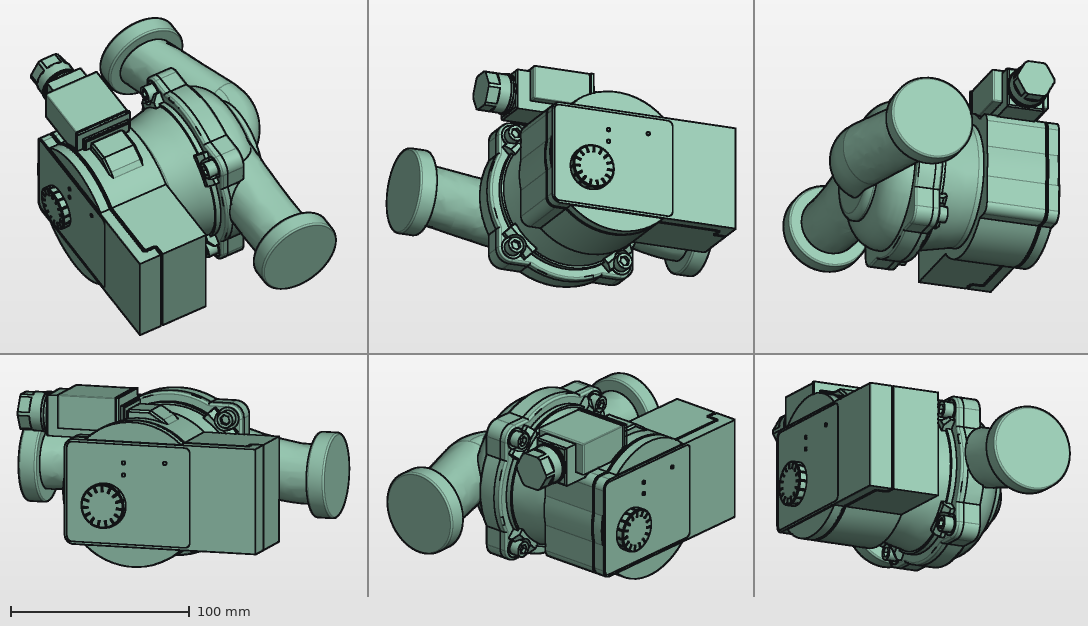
import cadquery as cq
import math


LINE_LENGTH = 180.0
PIPE_FLANGE_DIAMETER = 48.3
PIPE_FLANGE_THICKNESS = 10.5
PIPE_FLANGE_ROUND = 1.0
PIPE_FLANGE_INNER_X = LINE_LENGTH / 2 - PIPE_FLANGE_THICKNESS
PIPE_START_RADIUS = 16.8

INLET_BEND_HALF_WIDTH = 18.25
INLET_BEND_HALF_DEPTH = 16.7
INLET_BEND_RADIUS = 18.8
INLET_BEND_X = -22.0
INLET_TOP_Y = 34.37
INLET_BEND_Y = INLET_TOP_Y - INLET_BEND_HALF_DEPTH - INLET_BEND_RADIUS

OUTLET_SLOPE = 5.0
OUTLET_SECTIONS = [
    (PIPE_FLANGE_INNER_X, 0.0, PIPE_START_RADIUS),
    (68.0, 0.5, 17.0),
    (35.0, 8.0, 17.5),
    (-12.0, 23.0, 17.5),
]

VOLUTE_REAR_Y = 9.1
CLAMP_REAR_Y = -7.2
CLAMP_SPLIT_Y = -18.0
CLAMP_FRONT_Y = -22.4
COLLAR_FRONT_Y = -25.6
LUG_FRONT_Y = -28.1
MOTOR_NECK_Y = -47.3
CASE_REAR_Y = -50.5
DRUM_FRONT_Y = -93.0
PANEL_FRONT_Y = -93.6
OVERALL_Y = 132.52
OVERALL_Z = 99.75
KNOB_FRONT_Y = INLET_TOP_Y - OVERALL_Y

VOLUTE_RADIUS = 42.3
VOLUTE_ROUND = 16.0
REAR_DISC_RADIUS = 27.6
REAR_DISC_Y = 14.5
REAR_DISC_ROUND = 4.0
CLAMP_RADIUS = 46.75
EAR_RADIUS = 8.0
CLAMP_REAR_ROUND = 1.0
CLAMP_FRONT_ROUND = 1.3

SCREW_CIRCLE_RADIUS = 47.0
SCREW_OFFSET = SCREW_CIRCLE_RADIUS / math.sqrt(2)
SCREW_ANGLES = [45, 135, 225, 315]
SCREW_HEAD_DIAMETER = 9.0
SCREW_SHANK_DIAMETER = 5.0
SCREW_HEX = 5.0
SCREW_HEX_DEPTH = 2.5
SCREW_TIP_Y = -10.0

COLLAR_RADIUS = 41.2
CONE_RADIUS = 39.9
MOTOR_NECK_DIAMETER = 70.5
LUG_WIDTH = 18.8
LUG_INNER = 38.5
LUG_FLAT_END = 42.0
LUG_OUTER = 46.0
LUG_OUTER_Y = -25.0
SCREW_POCKET_RADIUS = 6.2
SCREW_SEAT_Y = -22.0

DRUM_RADIUS = 41.2
CASE_LEFT = -40.2
CASE_RIGHT = 72.4
CASE_HEIGHT = 60.0
CASE_CORNER = 5.4
CASE_EDGE_ROUND = 0.5
SEAM_WIDTH = 1.2
SEAM_DEPTH = 0.8
SEAM_Y = -85.7
SEAM_STEP_X = 64.9
SEAM_STEP_Y = -78.6
SEAM_BEND = 1.5
PANEL_LEFT = -38.6
PANEL_RIGHT = 33.7
PANEL_HEIGHT = 56.8
PANEL_CORNER = 3.0
PANEL_RELIEF = 0.1
LAMP_DIAMETER = 2.0
LAMP_DEPTH = 0.5
LAMP_POINTS = [(-5.4, 17.9), (-5.4, 11.0), (18.9, 19.0)]

SOCKET_LEFT = -8.6
SOCKET_FLAT_END = 5.4
SOCKET_SLOPE_END = 12.8
SOCKET_RIGHT = 15.7
SOCKET_TOP = 45.5
SOCKET_SLOPE_Z = 40.8
SOCKET_END_Z = 38.0
SOCKET_FOOT_Z = 33.0
SOCKET_REAR_Y = -57.0
SOCKET_FRONT_Y = -78.4
SOCKET_CHAMFER = 1.2

KNOB_X = -16.4
KNOB_Z = -6.7
KNOB_DIAMETER = 25.0
KNOB_CORE_DIAMETER = 17.0
KNOB_SLOTS = 15
KNOB_SLOT_WIDTH = 0.8
KNOB_SLOT_DEPTH = 4.0
KNOB_CHAMFER = 0.6

PLUG_LEFT = -47.1
PLUG_RIGHT = -12.4
PLUG_BOTTOM = 33.8
PLUG_TOP = OVERALL_Z - CLAMP_RADIUS
PLUG_REAR_Y = -51.4
PLUG_FRONT_Y = -84.6
PLUG_ROUND = 0.8
PLUG_RIM_THICKNESS = 1.6
PLUG_RIM_LIP = 0.6
PLUG_GROOVE = 0.8
SEAL_RIGHT = -9.4
SEAL_STEP = 0.8
SEAL_TOP = 47.9
SEAL_REAR_Y = -52.3
SEAL_FRONT_Y = -81.6
GLAND_Y = -68.1
GLAND_Z = 39.8
NECK_LEFT = -55.6
NECK_RIGHT = -20.0
NECK_WIDTH = 21.8
NECK_HEIGHT = 23.2
NECK_CHAMFER = 0.9
GLAND_DIAMETER = 22.0
GLAND_RING_DIAMETER = 23.0
GLAND_RING_LEFT = -58.6
GLAND_RING_RIGHT = -57.1
NUT_LEFT = -72.4
NUT_RIGHT = -65.5
NUT_FLATS = 20.0


def facing_front(y):
    """Workplane across the motor axis: local x is X, local y is Z, extruding goes towards -Y."""
    return cq.Workplane("XZ", origin=(0, y, 0))


def disc(radius, rear_y, front_y, x=0.0, z=0.0):
    return facing_front(rear_y).center(x, z).circle(radius).extrude(rear_y - front_y)


def rod_x(radius, left, right, y=0.0, z=0.0):
    return cq.Workplane("YZ", origin=(left, y, z)).circle(radius).extrude(right - left)


def block(left, right, rear_y, front_y, bottom, top):
    size = (right - left, rear_y - front_y, top - bottom)
    return cq.Workplane("XY").box(*size, centered=False).translate((left, front_y, bottom))


def clamp_plate(rear_y, front_y, rounded_face, edge_round):
    """Round plate merged with a rounded square whose corners are the four screw ears."""
    side = 2 * (SCREW_OFFSET + EAR_RADIUS)
    ears = facing_front(rear_y).rect(side, side).extrude(rear_y - front_y)
    ears = ears.edges("|Y").fillet(EAR_RADIUS).faces(rounded_face).edges().fillet(edge_round)
    plate = disc(CLAMP_RADIUS, rear_y, front_y).faces(rounded_face).edges().fillet(edge_round)
    return ears.union(plate)


def pipe_flange(left):
    right = left + PIPE_FLANGE_THICKNESS
    return rod_x(PIPE_FLANGE_DIAMETER / 2, left, right).edges().fillet(PIPE_FLANGE_ROUND)


def inlet_pipe():
    """Pipe that rises to a tight bend and turns down into the volute."""
    run = INLET_BEND_X + PIPE_FLANGE_INNER_X
    reach = math.hypot(run, INLET_BEND_Y)
    slope = math.atan2(INLET_BEND_Y, run) + math.asin(INLET_BEND_RADIUS / reach)
    straight = math.sqrt(reach**2 - INLET_BEND_RADIUS**2)
    x_axis = cq.Vector(1, 0, 0)
    z_axis = cq.Vector(0, 0, 1)
    direction = cq.Vector(math.cos(slope), math.sin(slope), 0)
    start = cq.Vector(-PIPE_FLANGE_INNER_X, 0, 0)
    end = start + direction * straight
    first = cq.Wire.makeEllipse(PIPE_START_RADIUS, PIPE_START_RADIUS, start, x_axis, z_axis)
    last = cq.Wire.makeEllipse(INLET_BEND_HALF_WIDTH, INLET_BEND_HALF_DEPTH, end, direction, z_axis)
    rise = cq.Workplane(cq.Solid.makeLoft([first, last], True))
    bend = (
        cq.Workplane("XZ")
        .moveTo(INLET_BEND_RADIUS, 0)
        .ellipse(INLET_BEND_HALF_DEPTH, INLET_BEND_HALF_WIDTH)
        .revolve(90 + math.degrees(slope), (0, 0), (0, 1))
        .translate((INLET_BEND_X, INLET_BEND_Y, 0))
    )
    return rise.union(bend, clean=False)


def outlet_pipe():
    fall = math.tan(math.radians(OUTLET_SLOPE))
    x_axis = cq.Vector(1, 0, 0)
    z_axis = cq.Vector(0, 0, 1)
    wires = []
    for x, z, half_width in OUTLET_SECTIONS:
        center = cq.Vector(x, -fall * (PIPE_FLANGE_INNER_X - x), z)
        wires.append(cq.Wire.makeEllipse(half_width, PIPE_START_RADIUS, center, x_axis, z_axis))
    return cq.Workplane(cq.Solid.makeLoft(wires, False))


def make_housing():
    volute = disc(VOLUTE_RADIUS, VOLUTE_REAR_Y, CLAMP_SPLIT_Y).faces(">Y").edges().fillet(VOLUTE_ROUND)
    rear_disc = disc(REAR_DISC_RADIUS, REAR_DISC_Y, CLAMP_REAR_Y)
    rear_disc = rear_disc.faces(">Y").edges().fillet(REAR_DISC_ROUND)
    clamp = clamp_plate(CLAMP_REAR_Y, CLAMP_SPLIT_Y, ">Y", CLAMP_REAR_ROUND)
    housing = volute.union(rear_disc).union(clamp)
    pipe_parts = [
        inlet_pipe(),
        outlet_pipe(),
        pipe_flange(-LINE_LENGTH / 2),
        pipe_flange(PIPE_FLANGE_INNER_X),
    ]
    for part in pipe_parts:
        housing = housing.union(part, clean=False)
    return housing


def make_screw(angle):
    screw = disc(SCREW_HEAD_DIAMETER / 2, SCREW_SEAT_Y, LUG_FRONT_Y)
    screw = screw.union(disc(SCREW_SHANK_DIAMETER / 2, SCREW_TIP_Y, SCREW_SEAT_Y))
    socket_floor = LUG_FRONT_Y + SCREW_HEX_DEPTH
    corners = SCREW_HEX / math.cos(math.radians(30))
    screw = screw.cut(facing_front(socket_floor).polygon(6, corners).extrude(SCREW_HEX_DEPTH))
    screw = screw.translate((SCREW_CIRCLE_RADIUS, 0, 0))
    return screw.rotate((0, 0, 0), (0, 1, 0), -angle)


def screw_lug(angle):
    """Pad from the collar out to one ear, its front face falling away towards the ear."""
    lug = (
        cq.Workplane("XY")
        .polyline(
            [
                (LUG_INNER, CLAMP_FRONT_Y),
                (LUG_INNER, LUG_FRONT_Y),
                (LUG_FLAT_END, LUG_FRONT_Y),
                (LUG_OUTER, LUG_OUTER_Y),
                (LUG_OUTER, CLAMP_FRONT_Y),
            ]
        )
        .close()
        .extrude(LUG_WIDTH / 2, both=True)
    )
    return lug.rotate((0, 0, 0), (0, 1, 0), -angle)


def screw_pocket(angle):
    """Round pocket around one screw head, open towards the outside."""
    pocket = disc(SCREW_POCKET_RADIUS, SCREW_SEAT_Y, LUG_FRONT_Y, SCREW_CIRCLE_RADIUS)
    mouth = block(
        SCREW_CIRCLE_RADIUS,
        SCREW_CIRCLE_RADIUS + EAR_RADIUS,
        CLAMP_FRONT_Y,
        LUG_FRONT_Y,
        -SCREW_POCKET_RADIUS,
        SCREW_POCKET_RADIUS,
    )
    return pocket.union(mouth).rotate((0, 0, 0), (0, 1, 0), -angle)


def make_motor():
    motor = clamp_plate(CLAMP_SPLIT_Y, CLAMP_FRONT_Y, "<Y", CLAMP_FRONT_ROUND)
    neck_radius = MOTOR_NECK_DIAMETER / 2
    can = (
        cq.Workplane("XY")
        .polyline(
            [
                (0, CLAMP_SPLIT_Y),
                (COLLAR_RADIUS, CLAMP_SPLIT_Y),
                (COLLAR_RADIUS, COLLAR_FRONT_Y),
                (CONE_RADIUS, COLLAR_FRONT_Y),
                (neck_radius, MOTOR_NECK_Y),
                (neck_radius, CASE_REAR_Y),
                (0, CASE_REAR_Y),
            ]
        )
        .close()
        .revolve(360, (0, 0), (0, 1))
    )
    motor = motor.union(can)
    for angle in SCREW_ANGLES:
        motor = motor.union(screw_lug(angle)).cut(screw_pocket(angle))
    return motor


def case_shape(inset=0.0):
    """Rectangular box merged with the drum, drawn in by `inset` all round its outline."""
    box = block(
        CASE_LEFT + inset,
        CASE_RIGHT - inset,
        CASE_REAR_Y,
        PANEL_FRONT_Y,
        -CASE_HEIGHT / 2 + inset,
        CASE_HEIGHT / 2 - inset,
    )
    box = box.edges("|Y and <X").fillet(CASE_CORNER - inset)
    box = box.faces("<Y").edges().fillet(CASE_EDGE_ROUND)
    return box.union(disc(DRUM_RADIUS - inset, CASE_REAR_Y, DRUM_FRONT_Y))


def seam_zone(shift):
    """Everything in front of the seam line moved forward by `shift`."""
    half_depth = 2 * DRUM_RADIUS
    far_left = CASE_LEFT - DRUM_RADIUS
    far_right = CASE_RIGHT + DRUM_RADIUS
    far_front = KNOB_FRONT_Y
    zone = (
        cq.Workplane("XY")
        .polyline(
            [
                (far_left, far_front),
                (far_left, SEAM_Y - shift),
                (SEAM_STEP_X + shift, SEAM_Y - shift),
                (SEAM_STEP_X + shift, SEAM_STEP_Y - shift),
                (far_right, SEAM_STEP_Y - shift),
                (far_right, far_front),
            ]
        )
        .close()
        .extrude(half_depth, both=True)
    )
    step_x = SEAM_STEP_X + shift
    step_edges = cq.selectors.BoxSelector(
        (step_x - SEAM_BEND, SEAM_Y - shift - SEAM_BEND, -SEAM_BEND),
        (step_x + SEAM_BEND, SEAM_STEP_Y - shift + SEAM_BEND, SEAM_BEND),
    )
    return zone.edges(step_edges).fillet(SEAM_BEND)


def socket():
    """Raised block the plug is pushed against, sloping down to the drum."""
    shape = (
        facing_front(SOCKET_REAR_Y)
        .polyline(
            [
                (SOCKET_LEFT, SOCKET_FOOT_Z),
                (SOCKET_LEFT, SOCKET_TOP),
                (SOCKET_FLAT_END, SOCKET_TOP),
                (SOCKET_SLOPE_END, SOCKET_SLOPE_Z),
                (SOCKET_RIGHT, SOCKET_END_Z),
                (SOCKET_RIGHT, SOCKET_FOOT_Z),
            ]
        )
        .close()
        .extrude(SOCKET_REAR_Y - SOCKET_FRONT_Y)
    )
    shape = shape.faces("<X").edges(">Z").chamfer(SOCKET_CHAMFER)
    return shape.faces("<Y or >Y").edges().chamfer(SOCKET_CHAMFER)


def make_case_base():
    return case_shape().cut(seam_zone(0)).union(socket())


def make_cover():
    cover = case_shape().intersect(seam_zone(0))
    groove = seam_zone(0).cut(seam_zone(SEAM_WIDTH)).cut(case_shape(SEAM_DEPTH))
    cover = cover.cut(groove)
    panel = (
        facing_front(PANEL_FRONT_Y + PANEL_RELIEF)
        .center((PANEL_LEFT + PANEL_RIGHT) / 2, 0)
        .rect(PANEL_RIGHT - PANEL_LEFT, PANEL_HEIGHT)
        .extrude(PANEL_RELIEF)
        .edges("|Y")
        .fillet(PANEL_CORNER)
    )
    surround = block(
        -DRUM_RADIUS, CASE_RIGHT, PANEL_FRONT_Y + PANEL_RELIEF, PANEL_FRONT_Y, -DRUM_RADIUS, DRUM_RADIUS
    )
    cover = cover.cut(surround.cut(panel))
    for x, z in LAMP_POINTS:
        cover = cover.cut(disc(LAMP_DIAMETER / 2, PANEL_FRONT_Y + LAMP_DEPTH, PANEL_FRONT_Y, x, z))
    return cover


def make_knob():
    knob = disc(KNOB_DIAMETER / 2, PANEL_FRONT_Y, KNOB_FRONT_Y).faces("<Y").chamfer(KNOB_CHAMFER)
    inner = KNOB_CORE_DIAMETER / 2
    slot = block(
        inner,
        KNOB_DIAMETER,
        KNOB_FRONT_Y + KNOB_SLOT_DEPTH,
        KNOB_FRONT_Y,
        -KNOB_SLOT_WIDTH / 2,
        KNOB_SLOT_WIDTH / 2,
    )
    for index in range(KNOB_SLOTS):
        angle = 90 + index * 360 / KNOB_SLOTS
        knob = knob.cut(slot.rotate((0, 0, 0), (0, 1, 0), -angle))
    return knob.translate((KNOB_X, 0, KNOB_Z))


def plug_body():
    body = block(PLUG_LEFT, PLUG_RIGHT - PLUG_GROOVE, PLUG_REAR_Y, PLUG_FRONT_Y, PLUG_BOTTOM, PLUG_TOP)
    body = body.faces("<X").edges().fillet(PLUG_ROUND).edges("|X").fillet(PLUG_ROUND / 2)
    rim_right = PLUG_RIGHT + PLUG_RIM_THICKNESS
    rim = block(
        PLUG_RIGHT, rim_right, PLUG_REAR_Y + PLUG_RIM_LIP, PLUG_FRONT_Y - PLUG_RIM_LIP, PLUG_BOTTOM, PLUG_TOP
    )
    seal = block(rim_right, SEAL_RIGHT, SEAL_REAR_Y, SEAL_FRONT_Y, PLUG_BOTTOM, SEAL_TOP)
    foot = block(
        SEAL_RIGHT,
        SOCKET_LEFT,
        SEAL_REAR_Y - SEAL_STEP,
        SEAL_FRONT_Y + SEAL_STEP,
        PLUG_BOTTOM,
        SEAL_TOP - SEAL_STEP,
    )
    core = block(
        PLUG_RIGHT - PLUG_GROOVE,
        PLUG_RIGHT,
        PLUG_REAR_Y - PLUG_GROOVE,
        PLUG_FRONT_Y + PLUG_GROOVE,
        PLUG_BOTTOM,
        PLUG_TOP - PLUG_GROOVE,
    )
    return body.union(core).union(rim).union(seal).union(foot)


def cable_gland():
    half_width = NECK_WIDTH / 2
    half_height = NECK_HEIGHT / 2
    neck = block(
        NECK_LEFT,
        NECK_RIGHT,
        GLAND_Y + half_width,
        GLAND_Y - half_width,
        GLAND_Z - half_height,
        GLAND_Z + half_height,
    )
    neck = neck.faces("<X").edges().chamfer(NECK_CHAMFER)
    sleeve = rod_x(GLAND_DIAMETER / 2, NUT_RIGHT, NECK_LEFT, GLAND_Y, GLAND_Z)
    ring = rod_x(GLAND_RING_DIAMETER / 2, GLAND_RING_LEFT, GLAND_RING_RIGHT, GLAND_Y, GLAND_Z)
    nut = (
        cq.Workplane("YZ", origin=(NUT_LEFT, GLAND_Y, GLAND_Z))
        .polygon(6, NUT_FLATS / math.cos(math.radians(30)))
        .extrude(NUT_RIGHT - NUT_LEFT)
        .intersect(rod_x(GLAND_DIAMETER / 2, NUT_LEFT, NUT_RIGHT, GLAND_Y, GLAND_Z))
    )
    return neck.union(sleeve).union(ring).union(nut)


screws = [make_screw(angle) for angle in SCREW_ANGLES]
motor = make_motor()
housing = make_housing().cut(motor, clean=False)
for screw in screws:
    motor = motor.cut(screw)
    housing = housing.cut(screw, clean=False)
case_base = make_case_base()
cover = make_cover()
knob = make_knob()
plug = plug_body().union(cable_gland()).cut(case_base)

result = cq.Compound.makeCompound(
    [
        housing.val(),
        motor.val(),
        *[screw.val() for screw in screws],
        case_base.val(),
        cover.val(),
        knob.val(),
        plug.val(),
    ]
)